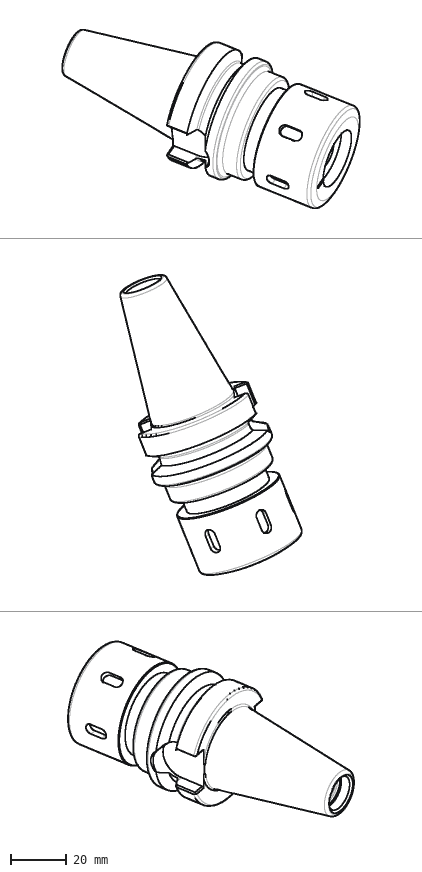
import cadquery as cq
import math

gauge_length = 48.4
gauge_radius = 31.99 / 2
taper_rate = 7 / 24
small_end_radius = gauge_radius - gauge_length * taper_rate / 2
small_end_fillet = 1.25

flange_radius = 46 / 2
flange_start = gauge_length + 1.0
root_radius = small_end_radius + flange_start * taper_rate / 2
flange_fillet = 0.9
root_fillet = 0.7
groove_start = 57.9
groove_floor_start = 60.1
groove_floor_end = 63.6
groove_floor_radius = 38.1 / 2
groove_end = 66.0
groove_fillet = 0.8
flange_end = 70.2

collar_radius = 40 / 2
collar_root_fillet = 1.5
collar_end = 78.4
collar_fillet = 1.0
neck_radius = 32.2 / 2
nose_end = 104.0

bore_radius = 10.11 / 2
mouth_radius = 14.8 / 2
mouth_depth = 0.8
pilot_radius = 13.1 / 2
pilot_depth = 4.4
thread_radius = 12.5 / 2
thread_start = 4.9
thread_end = 6.4
thread_end_fillet = 0.4

keyway_half_width = 8.05
keyway_end = 67.4
keyway_floor = 16.15
keyway_chamfer = 0.6

nut_start = 84.2
nut_end = 108.15
nut_radius = 40 / 2
nut_back_chamfer = 0.3
nut_cone_length = 1.125
nut_face_radius = 32.5 / 2
nut_fillet = 1.2
nut_opening_radius = 22 / 2

wrench_slot_count = 6
wrench_slot_length = 9.0
wrench_slot_width = 4.2
wrench_slot_depth = 2.5
wrench_slot_center = 94.3

rib_height = 0.25
rib_width = 0.8
rib_outer_radius = 30.5 / 2


def revolve_outline(points):
    """Turn a closed (x, radius) outline about the X axis."""
    return cq.Workplane("XY").polyline(points).close().revolve(360, (0, 0, 0), (1, 0, 0))


def fillet_ring(body, x, radius, fillet):
    """Round the circular edge of the given radius that lies at x on the X axis."""
    tolerance = 1e-3

    def is_ring(edge):
        return (
            edge.geomType() == "CIRCLE"
            and abs(edge.arcCenter().x - x) < tolerance
            and abs(edge.radius() - radius) < tolerance
        )

    return body.newObject(body.edges().filter(is_ring).vals()).fillet(fillet)


def make_holder_blank():
    blank = revolve_outline([
        (0, 0),
        (0, small_end_radius),
        (flange_start, root_radius),
        (flange_start, flange_radius),
        (groove_start, flange_radius),
        (groove_floor_start, groove_floor_radius),
        (groove_floor_end, groove_floor_radius),
        (groove_end, flange_radius),
        (flange_end, flange_radius),
        (flange_end, collar_radius),
        (collar_end, collar_radius),
        (collar_end, neck_radius),
        (nose_end, neck_radius),
        (nose_end, 0),
    ])
    rings = (
        (0, small_end_radius, small_end_fillet),
        (flange_start, root_radius, root_fillet),
        (flange_start, flange_radius, flange_fillet),
        (groove_floor_start, groove_floor_radius, groove_fillet),
        (flange_end, flange_radius, flange_fillet),
        (flange_end, collar_radius, collar_root_fillet),
        (collar_end, collar_radius, collar_fillet),
    )
    for x, radius, fillet in rings:
        blank = fillet_ring(blank, x, radius, fillet)
    return blank


def make_holder_bore():
    bore = revolve_outline([
        (0, 0),
        (0, mouth_radius),
        (mouth_depth, pilot_radius),
        (pilot_depth, pilot_radius),
        (thread_start, thread_radius),
        (thread_end, thread_radius),
        (thread_end, bore_radius),
        (nose_end, bore_radius),
        (nose_end, 0),
    ])
    return fillet_ring(bore, thread_end, thread_radius, thread_end_fillet)


def keyway_outline(y, half_width):
    """Round-ended slot outline in the plane at y, open toward the taper shank."""
    arc_center = keyway_end - keyway_half_width
    return (
        cq.Workplane("XZ", origin=(0, y, 0))
        .moveTo(gauge_length, -half_width)
        .lineTo(arc_center, -half_width)
        .threePointArc((arc_center + half_width, 0), (arc_center, half_width))
        .lineTo(gauge_length, half_width)
        .close()
    )


def make_keyway():
    """Cutter for the keyway on the -Y side, with its rim and entry chamfers."""
    depth = flange_radius - keyway_floor
    mouth_half_width = keyway_half_width + keyway_chamfer
    slot = keyway_outline(-keyway_floor, keyway_half_width).extrude(depth)

    flare = keyway_outline(-flange_radius, mouth_half_width).extrude(-keyway_chamfer, taper=45)

    rim_y = math.sqrt(flange_radius**2 - mouth_half_width**2)
    rim_clearance = flange_radius - rim_y
    bevel = (
        cq.Workplane("YZ", origin=(gauge_length, 0, 0))
        .moveTo(keyway_chamfer - rim_y, -keyway_half_width)
        .lineTo(-flange_radius, -mouth_half_width - rim_clearance)
        .lineTo(-flange_radius, mouth_half_width + rim_clearance)
        .lineTo(keyway_chamfer - rim_y, keyway_half_width)
        .close()
        .extrude(groove_start - gauge_length)
    )

    lead_in = (
        cq.Workplane("XZ", origin=(0, -keyway_floor, 0))
        .moveTo(flange_start, -mouth_half_width)
        .lineTo(flange_start + keyway_chamfer, -keyway_half_width)
        .lineTo(flange_start + keyway_chamfer, keyway_half_width)
        .lineTo(flange_start, mouth_half_width)
        .close()
        .extrude(depth)
    )
    return slot.union(flare).union(bevel).union(lead_in)


def make_holder():
    holder = make_holder_blank().cut(make_holder_bore())
    keyway = make_keyway()
    for angle in (0, 180):
        holder = holder.cut(keyway.rotate((0, 0, 0), (1, 0, 0), angle))
    return holder


def make_wrench_slot():
    """Cutter for the flat-bottomed slot in the -Y side of the nut."""
    return (
        cq.Workplane("XZ", origin=(wrench_slot_center, wrench_slot_depth - nut_radius, 0))
        .slot2D(wrench_slot_length, wrench_slot_width)
        .extrude(2 * wrench_slot_depth)
    )


def make_index_rib():
    """Low rib on the -Y side of the nut face, from the opening outward."""
    return cq.Workplane("XY").box(
        2 * rib_height, rib_outer_radius - nut_opening_radius, rib_width
    ).translate((nut_end, -(rib_outer_radius + nut_opening_radius) / 2, 0))


def make_nut():
    cone_start = nut_end - nut_cone_length
    nut = revolve_outline([
        (nut_start, neck_radius),
        (nut_start, nut_radius - nut_back_chamfer),
        (nut_start + nut_back_chamfer, nut_radius),
        (cone_start, nut_radius),
        (nut_end, nut_face_radius),
        (nut_end, nut_opening_radius),
        (nose_end, nut_opening_radius),
        (nose_end, neck_radius),
    ])
    nut = fillet_ring(nut, cone_start, nut_radius, nut_fillet)
    wrench_slot = make_wrench_slot()
    for index in range(wrench_slot_count):
        angle = index * 360 / wrench_slot_count
        nut = nut.cut(wrench_slot.rotate((0, 0, 0), (1, 0, 0), angle))
    return nut.union(make_index_rib())


holder = make_holder()
nut = make_nut()

result = cq.Compound.makeCompound([holder.val(), nut.val()])